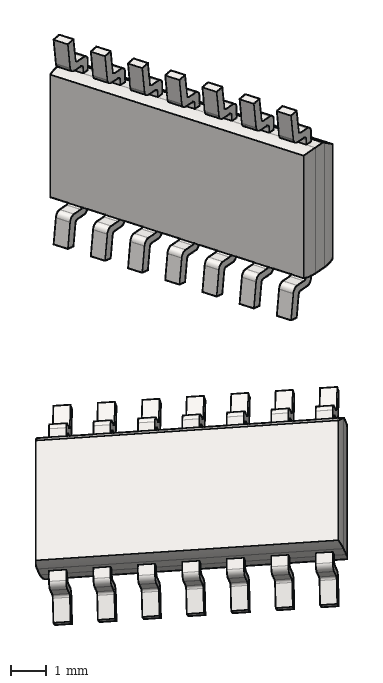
import cadquery as cq
import math

BODY_LENGTH = 8.75
BODY_HEIGHT = 4.0
BODY_THICKNESS = 1.45
FRONT_BULGE = 0.51
BACK_BULGE = 0.5
FACE_INSET = 0.05
BEVEL_DEPTH = 0.58
BEVEL_DROP = 0.315

LEADS_PER_ROW = 7
LEAD_PITCH = 1.27
LEAD_WIDTH = 0.49
ROW_SHIFT = 0.02
LEAD_THICKNESS = 0.24
FOOT_THICKNESS = 0.29
OVERALL_HEIGHT = 6.58
OVERALL_DEPTH = 1.71
ARM_GAP = 0.27
FOOT_TILT = math.radians(8)
ROOT_OUTER_RADIUS = 0.19
ROOT_INNER_RADIUS = 0.11
FOOT_OUTER_RADIUS = 0.2
FOOT_INNER_RADIUS = 0.09
LEAD_EMBED = 0.09

FRONT_Y = -BODY_THICKNESS / 2
BACK_Y = BODY_THICKNESS / 2
BAND_FRONT_Y = FRONT_Y + FRONT_BULGE
BAND_BACK_Y = BACK_Y - BACK_BULGE
RIM_Z = BODY_HEIGHT / 2


def bulge_middle(half_size, depth):
    """Distance from the centre plane, and from the band, of the halfway point of a bulged wall."""
    radius = (depth**2 + FACE_INSET**2) / (2 * FACE_INSET)
    half_sweep = math.asin(depth / radius) / 2
    return half_size - radius * (1 - math.cos(half_sweep)), radius * math.sin(half_sweep)


def bulged_prism(plane, size, length):
    """Prism with a flat band and bulged sides; the second axis of the plane is Y."""
    half = size / 2
    face_half = half - FACE_INSET
    front_mid, front_offset = bulge_middle(half, FRONT_BULGE)
    back_mid, back_offset = bulge_middle(half, BACK_BULGE)

    return (
        cq.Workplane(plane)
        .moveTo(-face_half, FRONT_Y)
        .lineTo(face_half, FRONT_Y)
        .threePointArc((front_mid, BAND_FRONT_Y - front_offset), (half, BAND_FRONT_Y))
        .lineTo(half, BAND_BACK_Y)
        .threePointArc((back_mid, BAND_BACK_Y + back_offset), (face_half, BACK_Y))
        .lineTo(-face_half, BACK_Y)
        .threePointArc((-back_mid, BAND_BACK_Y + back_offset), (-half, BAND_BACK_Y))
        .lineTo(-half, BAND_FRONT_Y)
        .threePointArc((-front_mid, BAND_FRONT_Y - front_offset), (-face_half, FRONT_Y))
        .close()
        .extrude(length / 2, both=True)
    )


def make_body():
    """Both bulged prisms crossed, so their walls meet in mitred corners, then bevelled."""
    along_z = bulged_prism("XY", BODY_LENGTH, BODY_HEIGHT)
    along_x = bulged_prism("ZY", BODY_HEIGHT, BODY_LENGTH)
    bevel = (
        cq.Workplane("YZ")
        .moveTo(BACK_Y - BEVEL_DEPTH, RIM_Z)
        .lineTo(BACK_Y, RIM_Z - BEVEL_DROP)
        .lineTo(BACK_Y, RIM_Z)
        .close()
        .extrude(BODY_LENGTH / 2, both=True)
    )
    return along_z.intersect(along_x).cut(bevel)


def make_lead():
    """Upper lead centred on X = 0: root out of the rim, arm toward -Y, tilted foot."""
    root_front_y = BAND_FRONT_Y
    root_back_y = root_front_y + LEAD_THICKNESS
    arm_inner_z = RIM_Z + ARM_GAP
    arm_outer_z = arm_inner_z + LEAD_THICKNESS

    tip_z = OVERALL_HEIGHT / 2
    tip_front_y = BACK_Y - OVERALL_DEPTH
    tip_back_y = tip_front_y + FOOT_THICKNESS * math.cos(FOOT_TILT)
    tip_front_z = tip_z - FOOT_THICKNESS * math.sin(FOOT_TILT)
    heel_front_y = tip_front_y + (tip_front_z - arm_inner_z) * math.tan(FOOT_TILT)
    heel_back_y = tip_back_y + (tip_z - arm_outer_z) * math.tan(FOOT_TILT)

    root_outer = (root_back_y, arm_outer_z)
    root_inner = (root_front_y, arm_inner_z)
    foot_outer = (heel_front_y, arm_inner_z)
    foot_inner = (heel_back_y, arm_outer_z)
    outline = [
        (root_front_y, RIM_Z - LEAD_EMBED),
        (root_back_y, RIM_Z - LEAD_EMBED),
        root_outer,
        foot_inner,
        (tip_back_y, tip_z),
        (tip_front_y, tip_front_z),
        foot_outer,
        root_inner,
    ]
    lead = cq.Workplane("YZ").polyline(outline).close().extrude(LEAD_WIDTH / 2, both=True)

    bends = [
        (root_outer, ROOT_OUTER_RADIUS),
        (root_inner, ROOT_INNER_RADIUS),
        (foot_outer, FOOT_OUTER_RADIUS),
        (foot_inner, FOOT_INNER_RADIUS),
    ]
    for (y, z), radius in bends:
        corner = cq.selectors.NearestToPointSelector((0, y, z))
        lead = lead.edges("|X").edges(corner).fillet(radius)
    return lead


result = make_body()
upper_lead = make_lead()
lower_lead = upper_lead.mirror("XY")
for index in range(LEADS_PER_ROW):
    lead_x = ROW_SHIFT + (index - (LEADS_PER_ROW - 1) / 2) * LEAD_PITCH
    result = result.union(upper_lead.translate((lead_x, 0, 0)))
    result = result.union(lower_lead.translate((lead_x, 0, 0)))